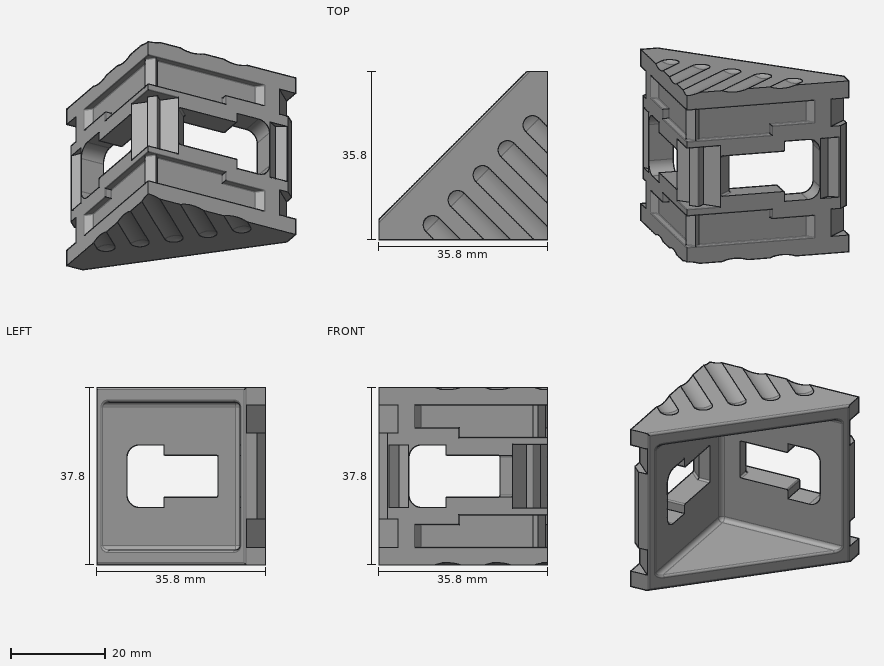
import cadquery as cq
import math


leg_length = 35.8
height = 37.76
end_face_length = 4.4
half_height = height / 2
outer_fillet = 0.5

leg_thickness = 5.4
cavity_height = 31.4
cavity_fillet = 1.0
rim_fillet = 0.5

slot_near_u = 10.1
slot_step_u = 21.6
slot_far_u = 29.4
slot_width = 8.88
slot_fillet = 0.4
step_fillet = 0.3
head_width = 13.25
head_radius = 2.65

recess_height = 13.5
recess_reach = 7.4
recess_depth = 2.9
recess_nose_sum = 4.4

pocket_depth = 1.45
pocket_nose_sum = 2.5
pocket_nose_base_u = 3.1
pocket_reach = 28.25
pocket_step_u = 18.8
pocket_outer_z = 15.15
pocket_inner_z = 10.25
pocket_wide_inner_z = 8.2

groove_center_u = 31.6
groove_half_width = 2.03
groove_depth = 1.28
groove_length = 13.25

tip_bevel = 1.85
tip_notch = 4.0
notch_inner_z = 9.13
notch_outer_z = 15.15

grip_count = 5
grip_pitch = 7.5
grip_half_width = 2.0
grip_depth = 0.52
grip_center_uv = 13.8

small_fillet = 0.1

overshoot = 0.5
tolerance = 0.001
sloped_face = cq.selectors.DirectionMinMaxSelector(cq.Vector(-1, 1, 0))


def plan_prism(outline, z_low, z_high):
    """Prism between two heights over a closed (u, v) outline."""
    points = [(-u, v) for u, v in outline]
    return cq.Workplane("XY").workplane(offset=z_low).polyline(points).close().extrude(z_high - z_low)


def on_both_legs(shape):
    """The shape together with its mirror image about the plane u = v."""
    mirrored = shape.val().mirror(cq.Vector(1, 1, 0), cq.Vector(0, 0, 0))
    return shape.union(cq.Workplane(mirrored))


def on_both_halves(shape):
    """The shape together with its mirror image about Z = 0."""
    return shape.union(shape.mirror("XY"))


def between_legs(half_outline):
    """Outline across the outer corner, from its points on the u side and their mirror images."""
    return [(0, 0)] + half_outline + [(v, u) for u, v in reversed(half_outline)]


def select_edges(shape, direction, u, z):
    """Edges parallel to a direction that pass through a given u and Z."""
    return [
        edge
        for edge in shape.edges(cq.selectors.ParallelDirSelector(direction)).vals()
        if abs(edge.Center().x + u) < tolerance and abs(abs(edge.Center().z) - z) < tolerance
    ]


def make_body():
    """Solid triangular block with the leg tips squared off and its sloped face softened."""
    outline = [
        (0, 0),
        (leg_length, 0),
        (leg_length, end_face_length),
        (end_face_length, leg_length),
        (0, leg_length),
    ]
    body = plan_prism(outline, -half_height, half_height)
    return body.faces(sloped_face).edges().fillet(outer_fillet)


def make_cavity():
    """Triangular hollow between the legs, open at the sloped face."""
    open_end = leg_length + end_face_length - leg_thickness
    outline = [
        (leg_thickness, leg_thickness),
        (open_end, leg_thickness),
        (leg_thickness, open_end),
    ]
    z = cavity_height / 2
    cavity = plan_prism(outline, -z, z)
    mouth_edges = cavity.faces(sloped_face).edges().vals()
    inner_edges = [e for e in cavity.edges().vals() if not any(e.isSame(m) for m in mouth_edges)]
    return cavity.newObject(inner_edges).fillet(cavity_fillet)


def cut_cavity(body):
    """Hollow out the block and round the rim of the opening."""
    hollow = body.cut(make_cavity())
    rim = hollow.faces(sloped_face).val().innerWires()[0].Edges()
    return hollow.newObject(rim).fillet(rim_fillet)


def make_slot():
    """Slot through the leg along X: a narrow part with a ramped end, and a wider head opening."""
    through = leg_thickness + cavity_fillet
    ramp_rise = slot_near_u - recess_reach
    half_width = slot_width / 2
    narrow_far_u = slot_step_u + head_radius
    narrow_outline = [
        (recess_reach - overshoot, -overshoot),
        (slot_near_u, ramp_rise),
        (slot_near_u, through),
        (narrow_far_u, through),
        (narrow_far_u, -overshoot),
    ]
    narrow = plan_prism(narrow_outline, -half_width, half_width)
    ramp_center_u = (slot_near_u + recess_reach - overshoot) / 2
    end_edges = select_edges(narrow, cq.Vector(0, 1, 0), slot_near_u, half_width)
    end_edges += select_edges(narrow, cq.Vector(-1, 1, 0), ramp_center_u, half_width)
    narrow = narrow.newObject(end_edges).fillet(slot_fillet)

    head_outline = [
        (slot_step_u, -overshoot),
        (slot_far_u, -overshoot),
        (slot_far_u, through),
        (slot_step_u, through),
    ]
    head = plan_prism(head_outline, -head_width / 2, head_width / 2)
    head = head.faces("<X").edges("|Y").fillet(head_radius)

    slot = narrow.union(head)
    step_edges = select_edges(slot, cq.Vector(0, 1, 0), slot_step_u, half_width)
    return slot.newObject(step_edges).fillet(step_fillet)


def make_corner_recess():
    """Recess across the outer corner that leaves a nose with a flat 45 degree tip."""
    nose_base_u = recess_reach - recess_depth
    nose_tip_u = (nose_base_u - recess_depth + recess_nose_sum) / 2
    outline = between_legs([
        (recess_reach, 0),
        (nose_base_u, recess_depth),
        (nose_tip_u, recess_nose_sum - nose_tip_u),
    ])
    recess = plan_prism(outline, -recess_height / 2, recess_height / 2)
    tip_edges = select_edges(recess, cq.Vector(0, 0, 1), nose_tip_u, 0)
    tip_edges += select_edges(recess, cq.Vector(0, 0, 1), recess_nose_sum - nose_tip_u, 0)
    return recess.newObject(tip_edges).fillet(small_fillet)


def pocket_nose():
    """The 45 degree flank and flat tip of the pocket floor at the corner."""
    tip_u = (pocket_nose_base_u - pocket_depth + pocket_nose_sum) / 2
    return [
        (pocket_nose_base_u, pocket_depth),
        (tip_u, pocket_nose_sum - tip_u),
    ]


def is_pocket_root(edge):
    """True where a pocket wall meets the pocket floor or the flanks of the nose."""
    center = edge.Center()
    on_outer_face = min(-center.x, center.y) < tolerance
    distance_along_leg = max(-center.x, center.y)
    on_nose = distance_along_leg < pocket_nose_base_u + tolerance
    is_vertical = edge.BoundingBox().zlen > tolerance
    is_step_side = abs(distance_along_leg - pocket_step_u) < tolerance and not is_vertical
    return not (on_outer_face or is_step_side or (on_nose and is_vertical))


def make_side_pockets():
    """Pockets above and below the slot, wider on the stretch nearest the corner."""
    long_half = [(pocket_reach, 0), (pocket_reach - pocket_depth, pocket_depth)]
    wide_half = [(pocket_step_u, 0), (pocket_step_u, pocket_depth)]
    long_outline = between_legs(long_half + pocket_nose())
    wide_outline = between_legs(wide_half + pocket_nose())
    pocket = plan_prism(long_outline, pocket_inner_z, pocket_outer_z)
    pocket = pocket.union(plan_prism(wide_outline, pocket_wide_inner_z, pocket_outer_z))
    inner_edges = [edge for edge in pocket.edges().vals() if is_pocket_root(edge)]
    pocket = pocket.newObject(inner_edges).fillet(small_fillet)
    return on_both_halves(pocket)


def round_ledge_rims(body):
    """Soften the outer edges of the pockets and of the recess ledges."""
    rim_heights = [recess_height / 2, pocket_wide_inner_z, pocket_inner_z, pocket_outer_z]
    rims = []
    for edge in body.edges("|X or |Y or |Z").vals():
        center = edge.Center()
        on_outer_face = min(-center.x, center.y) < tolerance
        at_rim_height = any(abs(abs(center.z) - z) < tolerance for z in rim_heights)
        at_pocket_step = abs(max(-center.x, center.y) - pocket_step_u) < tolerance
        if on_outer_face and (at_rim_height or at_pocket_step):
            rims.append(edge)
    return body.newObject(rims).fillet(small_fillet)


def make_tip_groove():
    outline = [
        (groove_center_u - groove_half_width, 0),
        (groove_center_u, groove_depth),
        (groove_center_u + groove_half_width, 0),
    ]
    return plan_prism(outline, -groove_length / 2, groove_length / 2)


def make_tip_bevel(size, z_low, z_high):
    """45 degree cut across the outer edge of the leg tip, over a range of heights."""
    outline = [
        (leg_length, 0),
        (leg_length - size, 0),
        (leg_length, size),
    ]
    return plan_prism(outline, z_low, z_high)


def make_tip_bevels():
    middle = make_tip_bevel(tip_bevel, -notch_inner_z, notch_inner_z)
    notch = make_tip_bevel(tip_notch, notch_inner_z, notch_outer_z)
    return middle.union(on_both_halves(notch))


def make_grip_groove(radius):
    """Round bar with a ball end at the origin, heading for the outer corner."""
    bar = (
        cq.Workplane("XY")
        .moveTo(-radius, 0)
        .radiusArc((0, radius), radius)
        .lineTo(leg_length, radius)
        .lineTo(leg_length, 0)
        .close()
        .revolve(360, (0, 0), (1, 0))
    )
    return bar.rotate((0, 0, 0), (0, 0, 1), -45)


def cut_grip_grooves(body):
    """Cut a row of parallel grooves into the top and bottom faces."""
    radius = (grip_half_width**2 + grip_depth**2) / (2 * grip_depth)
    axis_z = half_height - grip_depth + radius
    groove = make_grip_groove(radius)
    for index in range(grip_count):
        shift = (index - (grip_count - 1) / 2) * grip_pitch / math.sqrt(2)
        top_groove = groove.translate((shift - grip_center_uv, shift + grip_center_uv, axis_z))
        body = body.cut(top_groove).cut(top_groove.mirror("XY"))
    return body


bracket = cut_cavity(make_body())
bracket = bracket.cut(on_both_legs(make_slot()))
bracket = bracket.cut(make_corner_recess())
bracket = bracket.cut(make_side_pockets())
bracket = round_ledge_rims(bracket)
bracket = bracket.cut(on_both_legs(make_tip_groove()))
bracket = bracket.cut(on_both_legs(make_tip_bevels()))
bracket = cut_grip_grooves(bracket)

result = bracket